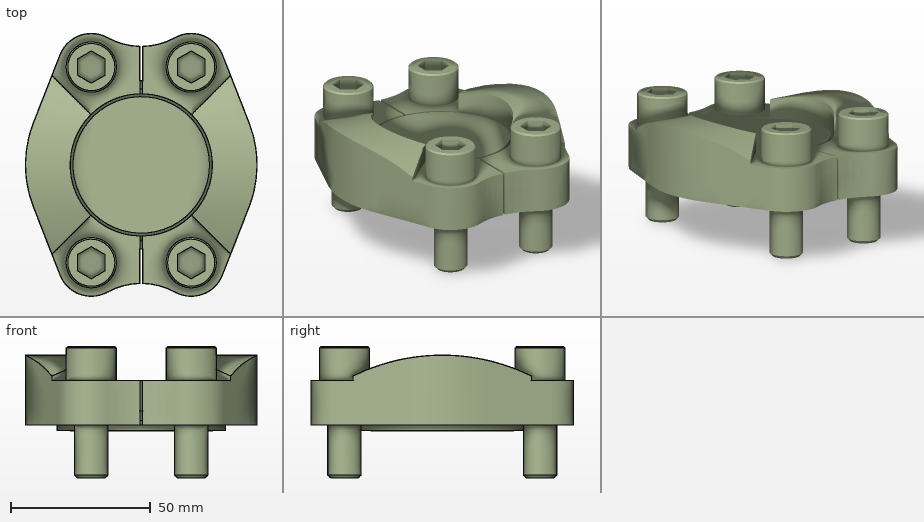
import cadquery as cq
import math

length_y = 94.0
width_x = 82.8
half_width_x = width_x / 2
clamp_height = 16.0
saddle_height = 25.0
saddle_radius = 71.7
bore_diameter = 50.9
split_gap = 0.9
valley_y = 42.4

bolt_x = 17.9
bolt_y = 35.0
head_diameter = 18.0
head_height = 12.0
head_chamfer = 0.6
shank_diameter = 12.0
shank_below = 19.0
tip_chamfer = 1.1
hex_across_flats = 10.0
hex_depth = 6.0

flange_diameter = 60.3
flange_drop = 2.0
shoulder_diameter = 54.2
collar_diameter = bore_diameter
collar_top = 5.1
neck_diameter = 48.8
seal_face_diameter = collar_diameter
seal_face_height = 0.2

overlap = 0.9


def clamp_outline():
    """Outline of both halves: flank arcs, tangent lines, round lugs and end valleys."""
    lug_radius = length_y / 2 - bolt_y
    bolt_distance = math.hypot(bolt_x, bolt_y)
    normal = math.atan2(bolt_y, bolt_x) - math.acos((half_width_x - lug_radius) / bolt_distance)
    nx, ny = math.cos(normal), math.sin(normal)
    flank = (half_width_x * nx, half_width_x * ny)
    lug_start = (bolt_x + lug_radius * nx, bolt_y + lug_radius * ny)

    rise = valley_y - bolt_y
    valley_radius = (bolt_x**2 + rise**2 - lug_radius**2) / (2 * (lug_radius - rise))
    valley_share = valley_radius / (valley_radius + lug_radius)
    valley_center_y = valley_y + valley_radius
    lug_end = (bolt_x * valley_share, valley_center_y + (bolt_y - valley_center_y) * valley_share)
    lug_top = (bolt_x, length_y / 2)

    def place(point, side_x, side_y):
        return (side_x * point[0], side_y * point[1])

    outline = cq.Workplane("XY").moveTo(*place(flank, 1, -1))
    for side in (1, -1):
        outline = (
            outline
            .threePointArc((side * half_width_x, 0), place(flank, side, side))
            .lineTo(*place(lug_start, side, side))
            .threePointArc(place(lug_top, side, side), place(lug_end, side, side))
            .threePointArc((0, side * valley_y), place(lug_end, -side, side))
            .threePointArc(place(lug_top, -side, side), place(lug_start, -side, side))
            .lineTo(*place(flank, -side, side))
        )
    return outline.close()


def saddle_space():
    """Two 45-degree wedges along X under a crown that curves along Y."""
    reach = half_width_x + overlap
    wedges = (
        cq.Workplane("XY")
        .polyline([(0, 0), (reach, -reach), (reach, reach)]).close()
        .polyline([(0, 0), (-reach, reach), (-reach, -reach)]).close()
        .extrude(saddle_height)
    )
    crown = (
        cq.Workplane("YZ", origin=(-reach, 0, 0))
        .center(0, saddle_height - saddle_radius)
        .circle(saddle_radius)
        .extrude(2 * reach)
    )
    return wedges.intersect(crown)


def clamps():
    lugs = clamp_outline().extrude(clamp_height)
    flanks = clamp_outline().extrude(saddle_height).intersect(saddle_space())
    bore = cq.Workplane("XY").circle(bore_diameter / 2).extrude(saddle_height + overlap)
    split = cq.Workplane("XY").box(
        split_gap, length_y + overlap, saddle_height + overlap, centered=(True, True, False)
    )
    return lugs.union(flanks).cut(bore).cut(split)


def flange():
    """Stepped disc with a rounded shoulder, a collar and a neck that ends level with the lugs."""
    shoulder_rounding = (shoulder_diameter - collar_diameter) / 2
    profile = (
        cq.Workplane("XZ")
        .moveTo(0, -flange_drop - seal_face_height)
        .lineTo(seal_face_diameter / 2, -flange_drop - seal_face_height)
        .lineTo(seal_face_diameter / 2, -flange_drop)
        .lineTo(flange_diameter / 2, -flange_drop)
        .lineTo(flange_diameter / 2, 0)
        .lineTo(shoulder_diameter / 2, 0)
        .radiusArc((collar_diameter / 2, shoulder_rounding), -shoulder_rounding)
        .lineTo(collar_diameter / 2, collar_top)
        .lineTo(neck_diameter / 2, collar_top)
        .lineTo(neck_diameter / 2, clamp_height)
        .lineTo(0, clamp_height)
        .close()
    )
    return profile.revolve(360, (0, 0, 0), (0, 1, 0))


def bolt():
    """Socket-head bolt on the Z axis, its head resting on the lug."""
    shank = (
        cq.Workplane("XY", origin=(0, 0, -shank_below))
        .circle(shank_diameter / 2)
        .extrude(shank_below + clamp_height)
        .faces("<Z").chamfer(tip_chamfer)
    )
    head = (
        cq.Workplane("XY", origin=(0, 0, clamp_height))
        .circle(head_diameter / 2)
        .extrude(head_height)
        .faces(">Z").chamfer(head_chamfer)
    )
    across_corners = hex_across_flats / math.cos(math.pi / 6)
    socket = (
        cq.Workplane("XY", origin=(0, 0, clamp_height + head_height - hex_depth))
        .transformed(rotate=(0, 0, 90))
        .polygon(6, across_corners)
        .extrude(hex_depth + overlap)
    )
    return shank.union(head).cut(socket)


result = clamps().union(flange())
for x in (-bolt_x, bolt_x):
    for y in (-bolt_y, bolt_y):
        result = result.union(bolt().translate((x, y, 0)))